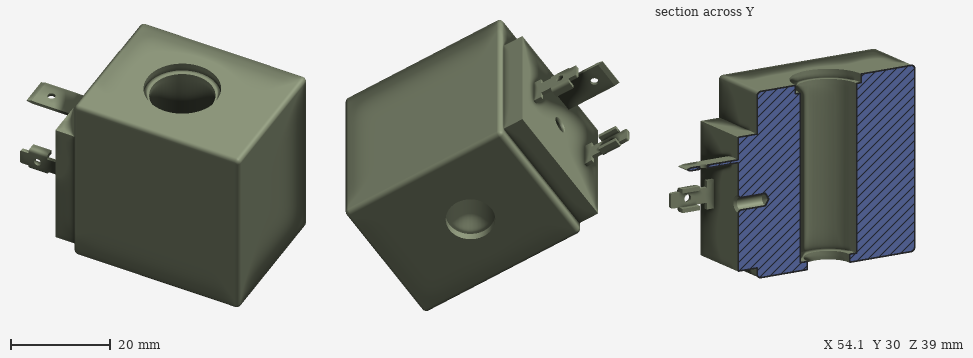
import cadquery as cq

overall_length = 54.15

body_length = 37.5
body_width = 30.0
body_height = 39.0
edge_radius = 1.0

plate_thickness = 4.5
plate_width = body_width - 2 * edge_radius
plate_height = 28.05
plate_bottom = 2.15
plate_face_x = -plate_thickness
plate_mid_z = plate_bottom + plate_height / 2

bore_x = 16.95
recess_diameter = 15.6
recess_depth = 1.8
bore_diameter = 13.3
floor_thickness = 1.8
floor_hole_diameter = 9.95

screw_diameter = 2.5
screw_mouth_diameter = 3.5
screw_mouth_depth = (screw_mouth_diameter - screw_diameter) / 2
screw_depth = 6.5
screw_tip_depth = 0.75

contact_thickness = 0.8
blade_hole_diameter = 1.6

ground_length = overall_length - body_length - plate_thickness
ground_width = 6.3
ground_offset = 9.0
ground_hole_reach = 8.2
ground_bevel = 1.1
ground_thickness = 0.7
ground_tip_thickness = 0.15

contact_length = 10.2
contact_height = 3.2
contact_outer_y = 9.8
contact_hole_reach = 6.25
contact_tip_radius = 0.4
shoulder_length = 1.75
shoulder_height = 6.0
wing_start = 4.1
wing_length = 4.1
wing_span = 5.0
wing_width = 2.0
wing_bend_radius = 0.7


def make_body():
    block = cq.Workplane("XY").box(body_length, body_width, body_height, centered=(False, True, False))
    return block.edges().fillet(edge_radius)


def make_plate():
    plate = cq.Workplane("XY").box(
        plate_thickness, plate_width, plate_height, centered=(False, True, False)
    )
    return plate.translate((plate_face_x, 0, plate_bottom))


def make_bore():
    """Tool for the through bore: wide recess on top, main bore, narrower hole in the floor."""

    def cylinder(diameter, bottom):
        base = cq.Workplane("XY").workplane(offset=bottom).center(bore_x, 0)
        return base.circle(diameter / 2).extrude(body_height - bottom)

    tool = cylinder(floor_hole_diameter, 0)
    tool = tool.union(cylinder(bore_diameter, floor_thickness))
    return tool.union(cylinder(recess_diameter, body_height - recess_depth))


def make_screw_hole():
    """Tool for the countersunk blind hole with a conical bottom, turned about its X axis."""
    half_profile = [
        (0, 0),
        (0, screw_mouth_diameter / 2),
        (screw_mouth_depth, screw_diameter / 2),
        (screw_depth, screw_diameter / 2),
        (screw_depth + screw_tip_depth, 0),
    ]
    tool = cq.Workplane("XY").polyline(half_profile).close().revolve(360, (0, 0), (1, 0))
    return tool.translate((plate_face_x, 0, plate_mid_z))


def make_ground_blade():
    """Horizontal blade with a tip bevelled from above and below."""
    half_thickness = ground_thickness / 2
    half_tip = ground_tip_thickness / 2
    bevel_start = ground_bevel - ground_length
    side_profile = [
        (0, half_thickness),
        (bevel_start, half_thickness),
        (-ground_length, half_tip),
        (-ground_length, -half_tip),
        (bevel_start, -half_thickness),
        (0, -half_thickness),
    ]
    blade = cq.Workplane("XZ").polyline(side_profile).close().extrude(ground_width / 2, both=True)
    hole = cq.Workplane("XY").center(-ground_hole_reach, 0).circle(blade_hole_diameter / 2)
    blade = blade.cut(hole.extrude(ground_thickness, both=True))
    return blade.translate((plate_face_x, 0, plate_mid_z + ground_offset))


def make_contact_blade():
    """Upright blade on the -Y side, with a shoulder at its root and two wings bent inward."""

    def upright(start, length, height):
        slab = cq.Workplane("XY").box(length, contact_thickness, height, centered=(False, False, True))
        return slab.translate((-start - length, 0, 0))

    blade = upright(0, contact_length, contact_height)
    blade = blade.edges("<X and |Y").fillet(contact_tip_radius)
    blade = blade.union(upright(0, shoulder_length, shoulder_height))

    channel = cq.Workplane("XY").box(wing_length, wing_width, wing_span, centered=(False, False, True))
    channel = channel.edges("|X and <Y").fillet(wing_bend_radius)
    gap = cq.Workplane("XY").box(wing_length, wing_width, contact_height, centered=(False, False, True))
    channel = channel.cut(gap.translate((0, contact_thickness, 0)))
    blade = blade.union(channel.translate((-wing_start - wing_length, 0, 0)))

    hole = cq.Workplane("XZ").center(-contact_hole_reach, 0).circle(blade_hole_diameter / 2)
    blade = blade.cut(hole.extrude(contact_thickness, both=True))
    return blade.translate((plate_face_x, -contact_outer_y, plate_mid_z))


housing = make_body().union(make_plate()).cut(make_bore()).cut(make_screw_hole())
contact = make_contact_blade()
result = housing.union(make_ground_blade()).union(contact).union(contact.mirror("XZ"))